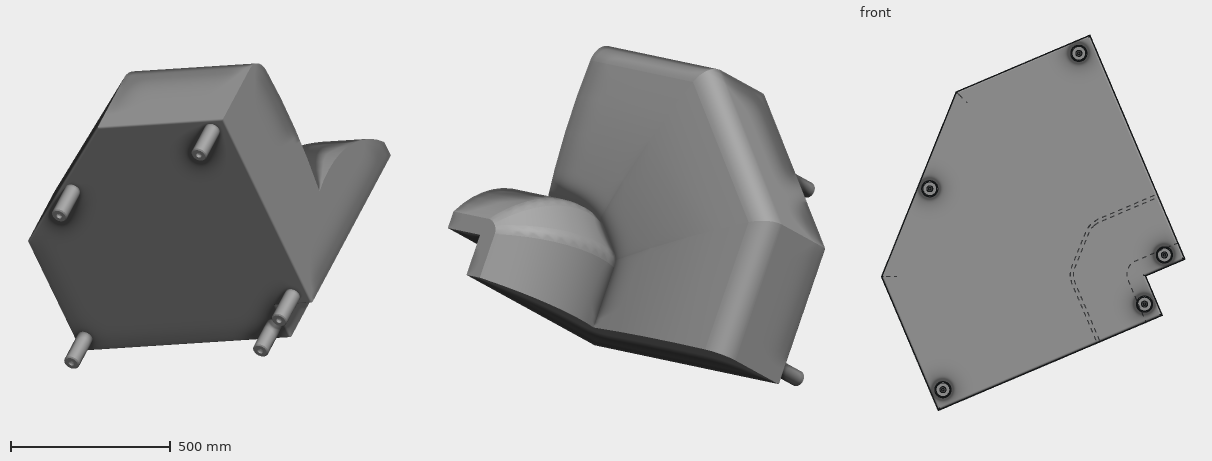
import cadquery as cq
import math

OVERALL_SPAN = 1174
SHORT_SIDE = 454.0
NOTCH = 134.0
TURN = 23
BOTTOM_ROUND = 7.0
turn = math.radians(TURN)
SIDE = OVERALL_SPAN / (math.sin(turn) + math.cos(turn))

CROWN_HEIGHT = 322.0
CROWN_POSITION = 211
CROWN_RADIUS = 1878
FRONT_ROUND = 75.0
BACK_POSITION = 540
BACK_HEIGHT = 380.0
BACK_RADIUS = 406.0
BACK_BASE = 258
SEAT_REAR = 587
TOTAL_HEIGHT = 708.0
CORNER_ROUND = 65.0

LEG_DIAMETER = 50.0
LEG_LENGTH = 122.0
LEG_CHAMFER = 4.0
RECESS_DIAMETER = 19.0
RECESS_DEPTH = 23
SCREW_DIAMETER = 8.0
SCREW_DEPTH = 35
LEG_WALL_INSET = 54.0
LEG_END_INSET = 39.0
LEG_NOTCH_INSET = 38.0
FRONT_LEG_INSET = 246.0

left_corner = (0, SHORT_SIDE)
top_corner = (SIDE - SHORT_SIDE, SIDE)
far_corner = (SIDE, SIDE)
back_corner = (SIDE, 0)
meeting = (SIDE - SHORT_SIDE) / (2 - math.sqrt(2))
meeting_point = (meeting, SIDE - meeting)

front_faces = [((0, 0), 0), (left_corner, -45), (far_corner, -90)]
mitred_zones = [
    [(0, 0), back_corner, meeting_point, left_corner],
    [left_corner, meeting_point, top_corner],
    [top_corner, meeting_point, back_corner, far_corner],
]


def prism(points, height):
    return cq.Workplane("XZ").polyline(points).close().extrude(-height)


def crown_at(distance):
    drop = CROWN_RADIUS - math.sqrt(CROWN_RADIUS**2 - (distance - CROWN_POSITION) ** 2)
    return CROWN_HEIGHT - drop


def back_at(height):
    """Position of the backrest's curved front at a height."""
    return BACK_POSITION + BACK_RADIUS - math.sqrt(BACK_RADIUS**2 - (height - BACK_HEIGHT) ** 2)


def along_face(start, inward_angle, draw_section):
    """Run a section, drawn over inward distance and height, along one front face."""
    angle = math.radians(inward_angle)
    inward = (math.cos(angle), 0, math.sin(angle))
    along = (-math.sin(angle), 0, math.cos(angle))
    plane = cq.Plane(origin=(start[0], 0, start[1]), xDir=inward, normal=along)
    return draw_section(cq.Workplane(plane)).extrude(2 * SIDE, both=True)


def seat_section(plane):
    rear = crown_at(SEAT_REAR)
    return (
        plane.lineTo(0, crown_at(0))
        .threePointArc((CROWN_POSITION, CROWN_HEIGHT), (SEAT_REAR, rear))
        .lineTo(2 * SIDE, rear)
        .lineTo(2 * SIDE, 0)
        .close()
    )


def back_section(plane):
    return (
        plane.moveTo(back_at(BACK_BASE), BACK_BASE)
        .threePointArc((BACK_POSITION, BACK_HEIGHT), (back_at(TOTAL_HEIGHT), TOTAL_HEIGHT))
        .lineTo(2 * SIDE, TOTAL_HEIGHT)
        .lineTo(2 * SIDE, BACK_BASE)
        .close()
    )


def make_seat():
    """Three strips with a rounded front edge, joined at the mitres."""
    seat = cq.Workplane("XZ")
    for (start, inward_angle), zone in zip(front_faces, mitred_zones):
        front_edge = cq.selectors.NearestToPointSelector((start[0], crown_at(0), start[1]))
        strip = along_face(start, inward_angle, seat_section)
        strip = strip.edges(front_edge).fillet(FRONT_ROUND)
        seat = seat.add(strip.intersect(prism(zone, TOTAL_HEIGHT)))
    return seat.combine()


def rounded_wedge(first_face, second_face, corner):
    """Two neighbouring backrest faces meeting in a rounded ridge."""
    wedge = along_face(*first_face, back_section).intersect(along_face(*second_face, back_section))
    mitre_share = BACK_POSITION / meeting
    x, z = (c + mitre_share * (m - c) for c, m in zip(corner, meeting_point))
    ridge = cq.selectors.NearestToPointSelector((x, BACK_HEIGHT, z))
    return wedge.edges(ridge).fillet(CORNER_ROUND)


def make_backrest():
    left, middle, top = front_faces
    square = prism([(0, 0), back_corner, far_corner, (0, SIDE)], TOTAL_HEIGHT)
    left_wedge = rounded_wedge(left, middle, left_corner)
    top_wedge = rounded_wedge(middle, top, top_corner)
    return left_wedge.intersect(top_wedge).intersect(square)


def make_cushion():
    cushion = make_seat().union(make_backrest())
    notch_center = (SIDE - NOTCH / 2, NOTCH / 2)
    notch = cq.Workplane("XZ").center(*notch_center).rect(NOTCH, NOTCH).extrude(-TOTAL_HEIGHT)
    cushion = cushion.cut(notch).clean()
    return cushion.faces("<Y").edges().fillet(BOTTOM_ROUND)


def make_leg(x, z):
    leg = cq.Workplane("XZ").center(x, z).circle(LEG_DIAMETER / 2).extrude(LEG_LENGTH)
    leg = leg.faces("<Y").chamfer(LEG_CHAMFER)
    return leg.faces("<Y").workplane(centerOption="CenterOfBoundBox").cboreHole(
        SCREW_DIAMETER, RECESS_DIAMETER, RECESS_DEPTH, SCREW_DEPTH
    )


def turned(body):
    return body.rotate((0, 0, 0), (0, 1, 0), -TURN)


leg_places = [
    (LEG_END_INSET, LEG_WALL_INSET),
    (SIDE - NOTCH - LEG_NOTCH_INSET, LEG_WALL_INSET),
    (SIDE - LEG_WALL_INSET, NOTCH + LEG_NOTCH_INSET),
    (SIDE - LEG_WALL_INSET, SIDE - LEG_END_INSET),
    (FRONT_LEG_INSET, SIDE - FRONT_LEG_INSET),
]

cushion = turned(make_cushion())
legs = [turned(make_leg(x, z)) for x, z in leg_places]

result = cq.Compound.makeCompound([cushion.val(), *[leg.val() for leg in legs]])